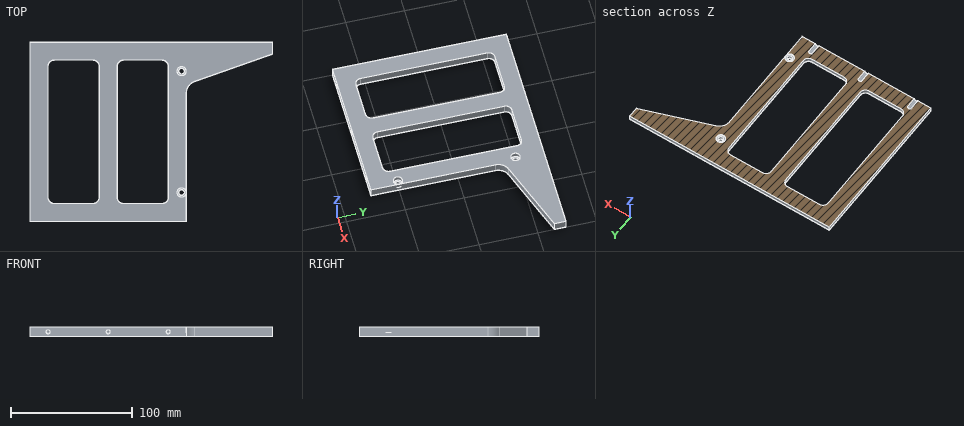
import cadquery as cq
import math

thickness = 8.0
plate_depth = 148.0
bar_width = 15.0
window_width = 42.0
window_count = 2
window_corner_radius = 5.0
window_pitch = window_width + bar_width
frame_width = window_count * window_pitch + bar_width
window_depth = plate_depth - 2 * bar_width

arm_end_x = 200.0
arm_tip_depth = 10.0
arm_root_depth = 35.0
arm_root_radius = 10.0

screw_hole_diameter = 4.5
counterbore_diameter = 7.5
counterbore_depth = 4.4
screw_edge_distance = 4.0
screw_spacing = 100.0
screw_x = frame_width - screw_edge_distance
screw_y_center = plate_depth / 2

edge_hole_diameter = 3.3
edge_hole_depth = 10.0
drill_tip_angle = 118.0
edge_hole_count = 3
edge_hole_end_distance = 15.0
edge_hole_pitch = (frame_width - 2 * edge_hole_end_distance) / (edge_hole_count - 1)


def make_plate():
    """Rectangular plate with a tapered arm and a rounded inner corner at its root."""
    arm_root_y = plate_depth - arm_root_depth
    plate = (
        cq.Workplane("XY")
        .moveTo(0, 0)
        .lineTo(frame_width, 0)
        .lineTo(frame_width, arm_root_y)
        .lineTo(arm_end_x, plate_depth - arm_tip_depth)
        .lineTo(arm_end_x, plate_depth)
        .lineTo(0, plate_depth)
        .close()
        .extrude(thickness)
    )
    root_corner = cq.selectors.NearestToPointSelector((frame_width, arm_root_y, thickness / 2))
    return plate.edges("|Z").edges(root_corner).fillet(arm_root_radius)


def make_windows():
    """Rounded rectangular openings, separated by bars of equal width."""
    first_x = bar_width + window_width / 2
    centers = [(first_x + i * window_pitch, plate_depth / 2) for i in range(window_count)]
    return (
        cq.Workplane("XY")
        .pushPoints(centers)
        .rect(window_width, window_depth)
        .extrude(thickness)
        .edges("|Z")
        .fillet(window_corner_radius)
    )


def cut_screw_holes(plate):
    """Two through holes, counterbored from the top face."""
    centers = [(screw_x, screw_y_center + side * screw_spacing / 2) for side in (-1, 1)]
    return (
        plate.faces(">Z")
        .workplane(origin=(0, 0, thickness))
        .pushPoints(centers)
        .cboreHole(screw_hole_diameter, counterbore_diameter, counterbore_depth)
    )


def make_edge_holes():
    """Drilled holes with conical ends, running back from the front edge at mid thickness."""
    radius = edge_hole_diameter / 2
    tip_length = radius / math.tan(math.radians(drill_tip_angle / 2))
    drill = (
        cq.Workplane("XY")
        .moveTo(0, 0)
        .lineTo(radius, 0)
        .lineTo(radius, edge_hole_depth)
        .lineTo(0, edge_hole_depth + tip_length)
        .close()
        .revolve(360, (0, 0, 0), (0, 1, 0))
    )
    holes = cq.Workplane("XY")
    for i in range(edge_hole_count):
        x = edge_hole_end_distance + i * edge_hole_pitch
        holes = holes.add(drill.translate((x, 0, thickness / 2)))
    return holes.combine()


plate = make_plate().cut(make_windows())
result = cut_screw_holes(plate).cut(make_edge_holes())